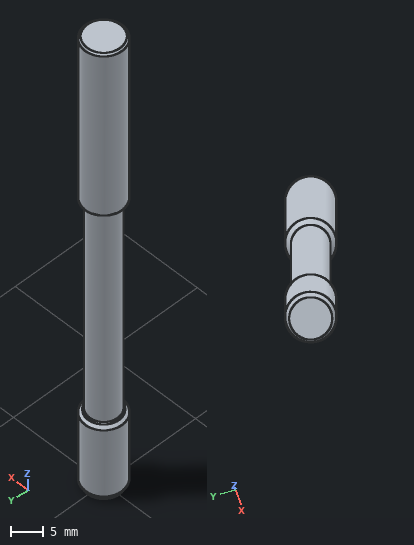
import cadquery as cq

total_length = 100.0
head_diameter = 8.0
head_length = 36.0
head_tip_chamfer = 0.4
neck_diameter = 6.16
thread_root_diameter = 6.7
thread_full_end = 16.0
thread_lead_in = 1.2

head_radius = head_diameter / 2
neck_radius = neck_diameter / 2
root_radius = thread_root_diameter / 2
thread_radius = head_radius
head_bottom = total_length - head_length

thread_top = thread_full_end + thread_radius - root_radius
lower_neck_end = thread_full_end + thread_radius - neck_radius

upper_neck_end = head_bottom - (head_radius - neck_radius)


def revolve_profile(points):
    """Turn a closed (radius, height) outline around the Z axis."""
    outline = cq.Workplane("XZ").polyline(points).close()
    return outline.revolve(360, (0, 0, 0), (0, 1, 0))


core_pin = revolve_profile([
    (0, 0),
    (root_radius, 0),
    (root_radius, thread_top),
    (neck_radius, lower_neck_end),
    (neck_radius, upper_neck_end),
    (head_radius, head_bottom),
    (head_radius, total_length - head_tip_chamfer),
    (head_radius - head_tip_chamfer, total_length),
    (0, total_length),
])

thread_sleeve = revolve_profile([
    (root_radius, 0),
    (thread_radius, thread_lead_in),
    (thread_radius, thread_full_end),
    (root_radius, thread_top),
])

result = cq.Compound.makeCompound([core_pin.val(), thread_sleeve.val()])